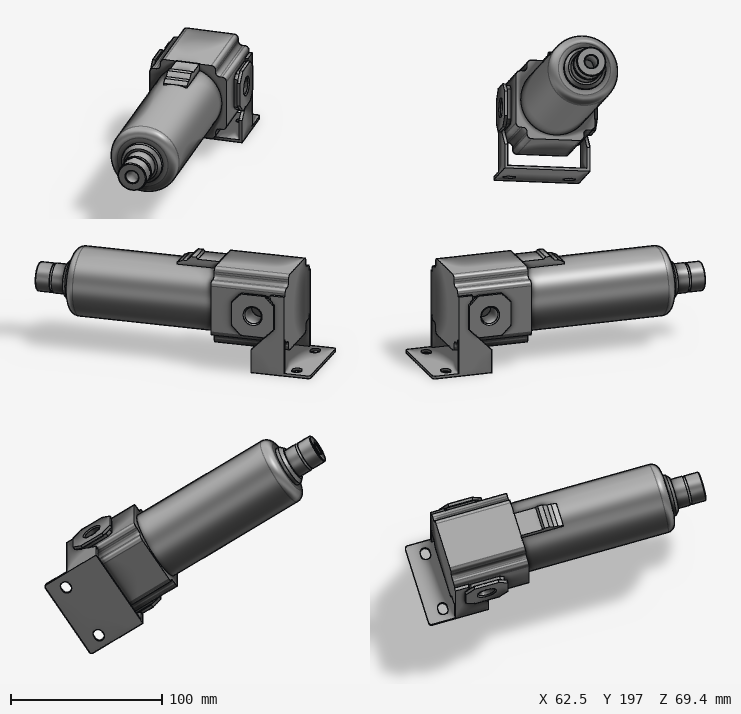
import cadquery as cq


body_half = 26.5
body_length = 51.6
corner_radius = 3.0
notch_wall = 19.1
notch_bend = notch_wall + corner_radius
side_end = notch_wall - corner_radius
shelf_end = body_half - corner_radius

bowl_radius = 23.5
bowl_end = 154.6
bowl_edge_radius = 6.0
collar_radius = 14.0
collar_end = 159.4
collar_chamfer = 2.4
nozzle_radius = 9.8
nozzle_root_radius = 10.0
nozzle_end = 179.0
nozzle_chamfer = 0.5
groove_start = 167.6
groove_width = 1.5
groove_depth = 0.5
drain_radius = 4.3
drain_depth = 15.8
drain_countersink = 0.5

catch_half_width = 8.0
catch_height = 27.0
catch_peak = 28.4
catch_tip = 80.8
catch_steps = [(66.4, catch_height), (67.8, catch_peak), (71.1, catch_peak), (74.3, 25.5), (77.0, 25.2)]

port_y = -21.0
pad_span = 62.5
plate_face = pad_span / 2
plate_back = 29.2
plate_half = 14.5
plate_chamfer = 6.3
neck_half = 13.0
neck_chamfer = 3.0
port_radius = 5.7
port_countersink = 0.89
port_depth = 15.8

bracket_half = 28.8
sheet = 2.0
bracket_bottom = -41.0
leg_front = -23.0
leg_notch = -9.7
flange_rear = 18.0
flange_corner_radius = 2.0
slot_x = 20.0
slot_y = 6.1
slot_length = 8.3
slot_width = 6.5


def make_body():
    """Extruded block whose four corners carry a rounded re-entrant notch."""
    outline = cq.Workplane("XZ").moveTo(-side_end, body_half)
    for sx, sz, from_horizontal in [(1, 1, True), (1, -1, False), (-1, -1, True), (-1, 1, False)]:
        path = [
            (side_end, body_half, 0),
            (notch_wall, shelf_end, corner_radius),
            (notch_wall, notch_bend, 0),
            (notch_bend, notch_wall, -corner_radius),
            (shelf_end, notch_wall, 0),
            (body_half, side_end, corner_radius),
        ]
        if not from_horizontal:
            path = [(z, x, radius) for x, z, radius in path]
        for x, z, radius in path:
            end = (sx * x, sz * z)
            outline = outline.radiusArc(end, radius) if radius else outline.lineTo(*end)
    return outline.close().extrude(body_length)


def make_bowl():
    """Bowl, collar and grooved nozzle turned about the Y axis."""
    groove_end = groove_start + groove_width
    return (
        cq.Workplane("XY")
        .moveTo(0, 0)
        .lineTo(bowl_radius, 0)
        .lineTo(bowl_radius, bowl_edge_radius - bowl_end)
        .radiusArc((bowl_radius - bowl_edge_radius, -bowl_end), bowl_edge_radius)
        .lineTo(collar_radius, -bowl_end)
        .lineTo(collar_radius, collar_chamfer - collar_end)
        .lineTo(collar_radius - collar_chamfer, -collar_end)
        .lineTo(nozzle_root_radius, -collar_end)
        .lineTo(nozzle_root_radius, -groove_start)
        .lineTo(nozzle_radius - groove_depth, -groove_end)
        .lineTo(nozzle_radius, -groove_end)
        .lineTo(nozzle_radius, nozzle_chamfer - nozzle_end)
        .lineTo(nozzle_radius - nozzle_chamfer, -nozzle_end)
        .lineTo(0, -nozzle_end)
        .close()
        .revolve(360, (0, 0, 0), (0, 1, 0))
    )


def make_catch():
    """Stepped release catch standing on the bowl in front of the body."""
    outline = [(-body_length, 0), (-body_length, catch_height)]
    outline += [(-distance, height) for distance, height in catch_steps]
    outline += [(-catch_tip, bowl_radius), (-catch_tip, 0)]
    return cq.Workplane("YZ").polyline(outline).close().extrude(catch_half_width, both=True)


def chamfered_square(half, chamfer, inner_x, outer_x):
    """Square plate centred on the port axis, with its four corners cut off."""
    return (
        cq.Workplane("YZ", origin=(inner_x, port_y, 0))
        .rect(2 * half, 2 * half)
        .extrude(outer_x - inner_x)
        .edges("|X")
        .chamfer(chamfer)
    )


def make_port_pad():
    """Port plate on a slightly smaller neck, on the +X side."""
    plate = chamfered_square(plate_half, plate_chamfer, plate_back, plate_face)
    neck = chamfered_square(neck_half, neck_chamfer, body_half, plate_back)
    return plate.union(neck)


def make_bracket_leg():
    """Upright bracket side on the +X side; its slanted edge lines up with the plate's chamfer."""
    slant_height = port_y + 2 * plate_half - plate_chamfer
    return (
        cq.Workplane("YZ", origin=(body_half, 0, 0))
        .moveTo(0, plate_half)
        .lineTo(leg_notch, plate_half)
        .lineTo(leg_notch, leg_notch - slant_height)
        .lineTo(leg_front, leg_front - slant_height)
        .lineTo(leg_front, bracket_bottom)
        .lineTo(0, bracket_bottom)
        .close()
        .extrude(bracket_half - body_half)
    )


def make_bracket_base():
    """Bottom sheet of the bracket with its slotted rear flange."""
    base = (
        cq.Workplane("XY", origin=(0, 0, bracket_bottom))
        .moveTo(0, (leg_front + flange_rear) / 2)
        .rect(2 * bracket_half, flange_rear - leg_front)
        .extrude(sheet)
        .edges("|Z and >Y")
        .fillet(flange_corner_radius)
    )
    slots = (
        cq.Workplane("XY", origin=(0, 0, bracket_bottom))
        .pushPoints([(-slot_x, slot_y), (slot_x, slot_y)])
        .slot2D(slot_length, slot_width)
        .extrude(sheet)
    )
    return base.cut(slots)


def countersunk_hole(plane, radius, countersink, depth):
    """Blind hole tool with a 45 degree mouth, sunk from the plane's origin against its normal."""
    hole = cq.Workplane(plane).circle(radius).extrude(-depth)
    mouth = cq.Workplane(plane).circle(radius + countersink).extrude(-countersink, taper=45)
    return hole.union(mouth)


port_plane = cq.Plane(origin=(plate_face, port_y, 0), xDir=(0, 1, 0), normal=(1, 0, 0))
drain_plane = cq.Plane(origin=(0, -nozzle_end, 0), xDir=(1, 0, 0), normal=(0, -1, 0))

side_parts = make_port_pad().union(make_bracket_leg())
port = countersunk_hole(port_plane, port_radius, port_countersink, port_depth)
drain = countersunk_hole(drain_plane, drain_radius, drain_countersink, drain_depth)

result = (
    make_body()
    .union(make_bowl())
    .union(make_catch())
    .union(make_bracket_base())
    .union(side_parts)
    .union(side_parts.mirror("YZ"))
    .cut(port)
    .cut(port.mirror("YZ"))
    .cut(drain)
)